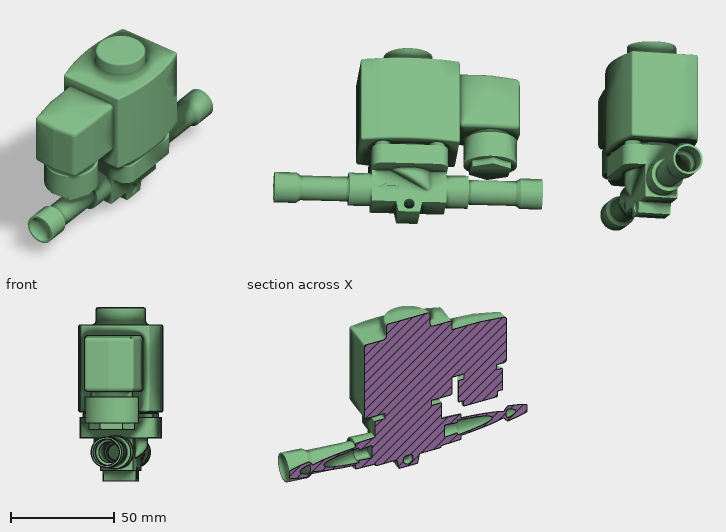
import cadquery as cq
import math

TURN_ABOUT_Z = -6.2

PIPE_HALF_LENGTH = 65.0
COLLAR_END = 29.0
COLLAR_DIAMETER = 16.0
TUBE_DIAMETER = 12.0
SOCKET_DIAMETER = 14.8
FLARE_START = 52.2
FLARE_END = 54.4
SOCKET_BORE = 12.8
TUBE_BORE = 10.0
PORT_BORE = 8.0
TUBE_BORE_END = 27.0
PORT_BORE_END = 20.0

BODY_WIDTH = 16.0
BODY_LENGTH = 36.0
BODY_BOTTOM = -8.8
CHAMBER_DIAMETER = 26.0
CHAMBER_FLOOR_ANGLE = 30.0
CHAMBER_FLOOR_HEIGHT = 1.8
CHAMBER_FILLET = 1.5
LUG_BOTTOM = -14.0
LUG_TOP_WIDTH = 12.6
LUG_BOTTOM_WIDTH = 10.4
LUG_HOLE_DIAMETER = 5.2
LUG_HOLE_HEIGHT = -10.0

ARROW_TIP = 14.9
ARROW_HEAD_BACK = 10.7
ARROW_TAIL = 5.1
ARROW_HEIGHT = -1.6
ARROW_HEAD_WIDTH = 4.8
ARROW_SHAFT_WIDTH = 2.1
ARROW_DEPTH = 0.3

FLANGE_BOTTOM = 7.0
FLANGE_TOP = 16.8
BOLT_SPACING = 26.0
FLANGE_CORNER_RADIUS = 5.4
FLANGE_SIDE = BOLT_SPACING + 2 * FLANGE_CORNER_RADIUS
BOLT_HEAD_DIAMETER = 8.0
BOLT_HEAD_TOP = 19.2
BOLT_HEAD_CHAMFER = 0.5
NECK_DIAMETER = 26.0

COIL_BOTTOM = 19.5
COIL_TOP = 61.7
COIL_LENGTH = 48.0
COIL_END_WIDTH = 33.0
COIL_MIDDLE_WIDTH = 40.08
COIL_FILLET = 1.0
CAP_DIAMETER = 24.0
CAP_TOP = 70.0
CAP_EDGE_FILLET = 1.0
CAP_BASE_FILLET = 2.0

BOX_BOTTOM = 29.3
BOX_TOP = 56.6
BOX_WIDTH = 27.0
BOX_TAPER_START = -39.0
BOX_FRONT = -54.5
BOX_FRONT_SLOPE = 6.0
BOX_TOP_TAPER = 5.0
BOX_END_HALF_WIDTH = 12.0
BOX_FILLET = 2.0

GLAND_Y = -39.9
GLAND_NECK_DIAMETER = 20.0
GLAND_NUT_DIAMETER = 26.0
GLAND_NUT_TOP = 26.7
GLAND_NUT_BOTTOM = 14.2
GLAND_HEX_SIDES = 6
GLAND_HEX_FLATS = 19.0
GLAND_HEX_BOTTOM = 11.1
GLAND_HEX_TURN = 4.3


def disc(diameter, bottom, top, y=0.0):
    """Upright cylinder between two heights."""
    return cq.Workplane("XY", origin=(0, y, bottom)).circle(diameter / 2).extrude(top - bottom)


def revolve_about_pipe(outline):
    """Turn an outline of (radius, distance along Y) points about the pipe axis."""
    return cq.Workplane("XY").polyline(outline).close().revolve(360, (0, 0, 0), (0, 1, 0))


def both_ends(shape):
    """Join a shape on the +Y side with its mirror image on the -Y side."""
    return shape.union(shape.mirror("XZ"))


def pipe_outside():
    return both_ends(revolve_about_pipe([
        (0, 0),
        (COLLAR_DIAMETER / 2, 0),
        (COLLAR_DIAMETER / 2, COLLAR_END),
        (TUBE_DIAMETER / 2, COLLAR_END),
        (TUBE_DIAMETER / 2, FLARE_START),
        (SOCKET_DIAMETER / 2, FLARE_END),
        (SOCKET_DIAMETER / 2, PIPE_HALF_LENGTH),
        (0, PIPE_HALF_LENGTH),
    ]))


def pipe_bores():
    return both_ends(revolve_about_pipe([
        (0, PORT_BORE_END),
        (PORT_BORE / 2, PORT_BORE_END),
        (PORT_BORE / 2, TUBE_BORE_END),
        (TUBE_BORE / 2, TUBE_BORE_END),
        (TUBE_BORE / 2, FLARE_START),
        (SOCKET_BORE / 2, FLARE_END),
        (SOCKET_BORE / 2, PIPE_HALF_LENGTH),
        (0, PIPE_HALF_LENGTH),
    ]))


def diaphragm_chamber():
    """Cylinder under the flange whose floor slopes down towards -Y."""
    radius = CHAMBER_DIAMETER / 2
    rise = radius * math.tan(math.radians(CHAMBER_FLOOR_ANGLE))
    side = (
        cq.Workplane("YZ")
        .moveTo(-radius, CHAMBER_FLOOR_HEIGHT - rise)
        .lineTo(radius, CHAMBER_FLOOR_HEIGHT + rise)
        .lineTo(radius, FLANGE_TOP)
        .lineTo(-radius, FLANGE_TOP)
        .close()
        .extrude(radius, both=True)
    )
    chamber = disc(CHAMBER_DIAMETER, CHAMBER_FLOOR_HEIGHT - rise, FLANGE_TOP).intersect(side)
    return chamber.faces("<Z").edges().fillet(CHAMBER_FILLET)


def body():
    block = (
        cq.Workplane("XY", origin=(0, 0, BODY_BOTTOM))
        .rect(BODY_WIDTH, BODY_LENGTH)
        .extrude(FLANGE_BOTTOM - BODY_BOTTOM)
    )
    lug = (
        cq.Workplane("YZ")
        .moveTo(-LUG_TOP_WIDTH / 2, BODY_BOTTOM)
        .lineTo(-LUG_BOTTOM_WIDTH / 2, LUG_BOTTOM)
        .lineTo(LUG_BOTTOM_WIDTH / 2, LUG_BOTTOM)
        .lineTo(LUG_TOP_WIDTH / 2, BODY_BOTTOM)
        .close()
        .extrude(BODY_WIDTH / 2, both=True)
    )
    lug_hole = (
        cq.Workplane("YZ")
        .center(0, LUG_HOLE_HEIGHT)
        .circle(LUG_HOLE_DIAMETER / 2)
        .extrude(BODY_WIDTH / 2, both=True)
    )
    return block.union(lug).cut(lug_hole).union(diaphragm_chamber())


def flow_arrow():
    half_head = ARROW_HEAD_WIDTH / 2
    half_shaft = ARROW_SHAFT_WIDTH / 2
    return (
        cq.Workplane("YZ", origin=(-BODY_WIDTH / 2, 0, ARROW_HEIGHT))
        .moveTo(ARROW_TIP, 0)
        .lineTo(ARROW_HEAD_BACK, half_head)
        .lineTo(ARROW_HEAD_BACK, half_shaft)
        .lineTo(ARROW_TAIL, half_shaft)
        .lineTo(ARROW_TAIL - half_shaft / 2, 0)
        .lineTo(ARROW_TAIL, -half_shaft)
        .lineTo(ARROW_HEAD_BACK, -half_shaft)
        .lineTo(ARROW_HEAD_BACK, -half_head)
        .close()
        .extrude(ARROW_DEPTH)
    )


def flange():
    plate = (
        cq.Workplane("XY", origin=(0, 0, FLANGE_BOTTOM))
        .rect(FLANGE_SIDE, FLANGE_SIDE)
        .extrude(FLANGE_TOP - FLANGE_BOTTOM)
        .edges("|Z")
        .fillet(FLANGE_CORNER_RADIUS)
    )
    bolt_heads = (
        cq.Workplane("XY", origin=(0, 0, FLANGE_TOP))
        .rect(BOLT_SPACING, BOLT_SPACING, forConstruction=True)
        .vertices()
        .circle(BOLT_HEAD_DIAMETER / 2)
        .extrude(BOLT_HEAD_TOP - FLANGE_TOP)
        .faces(">Z")
        .edges()
        .chamfer(BOLT_HEAD_CHAMFER)
    )
    neck = disc(NECK_DIAMETER, FLANGE_TOP, COIL_BOTTOM)
    return plate.union(bolt_heads).union(neck)


def coil():
    half_end = COIL_END_WIDTH / 2
    half_middle = COIL_MIDDLE_WIDTH / 2
    half_length = COIL_LENGTH / 2
    housing = (
        cq.Workplane("XY", origin=(0, 0, COIL_BOTTOM))
        .moveTo(-half_end, -half_length)
        .lineTo(half_end, -half_length)
        .threePointArc((half_middle, 0), (half_end, half_length))
        .lineTo(-half_end, half_length)
        .threePointArc((-half_middle, 0), (-half_end, -half_length))
        .close()
        .extrude(COIL_TOP - COIL_BOTTOM)
        .edges()
        .fillet(COIL_FILLET)
    )
    cap = disc(CAP_DIAMETER, COIL_TOP, CAP_TOP).faces(">Z").edges().fillet(CAP_EDGE_FILLET)
    cap_base = cq.selectors.BoxSelector(
        (-CAP_DIAMETER, -CAP_DIAMETER, COIL_TOP - CAP_EDGE_FILLET / 2),
        (CAP_DIAMETER, CAP_DIAMETER, COIL_TOP + CAP_EDGE_FILLET / 2),
    )
    return housing.union(cap).edges("%CIRCLE").edges(cap_base).fillet(CAP_BASE_FILLET)


def connector_box():
    """Box with tapering sides and roof and a shallow V-shaped front."""
    half_width = BOX_WIDTH / 2
    corner_setback = BOX_END_HALF_WIDTH * math.tan(math.radians(BOX_FRONT_SLOPE))
    corner_y = BOX_FRONT + corner_setback
    roof_drop = (BOX_TAPER_START - BOX_FRONT) * math.tan(math.radians(BOX_TOP_TAPER))
    plan = (
        cq.Workplane("XY", origin=(0, 0, BOX_BOTTOM))
        .moveTo(-half_width, 0)
        .lineTo(-half_width, BOX_TAPER_START)
        .lineTo(-BOX_END_HALF_WIDTH, corner_y)
        .lineTo(0, BOX_FRONT)
        .lineTo(BOX_END_HALF_WIDTH, corner_y)
        .lineTo(half_width, BOX_TAPER_START)
        .lineTo(half_width, 0)
        .close()
        .extrude(BOX_TOP - BOX_BOTTOM)
    )
    profile = (
        cq.Workplane("YZ")
        .moveTo(0, BOX_BOTTOM)
        .lineTo(BOX_FRONT, BOX_BOTTOM)
        .lineTo(BOX_FRONT, BOX_TOP - roof_drop)
        .lineTo(BOX_TAPER_START, BOX_TOP)
        .lineTo(0, BOX_TOP)
        .close()
        .extrude(BOX_WIDTH, both=True)
    )
    box = plan.intersect(profile)
    front_corners = cq.selectors.BoxSelector(
        (-BOX_WIDTH, corner_y - BOX_FILLET / 2, BOX_BOTTOM),
        (BOX_WIDTH, corner_y + BOX_FILLET / 2, BOX_TOP),
    )
    box = box.edges("|Z").edges(front_corners).fillet(BOX_FILLET)
    box = box.faces("<Z").edges("not >Y").fillet(BOX_FILLET)
    roof_rim = cq.selectors.BoxSelector(
        (-BOX_WIDTH, BOX_FRONT - BOX_FILLET, BOX_TOP - roof_drop - BOX_FILLET / 2),
        (BOX_WIDTH, BOX_FILLET, BOX_TOP + BOX_FILLET),
    )
    return box.edges(roof_rim).edges("not |X").fillet(BOX_FILLET)


def cable_gland():
    neck = disc(GLAND_NECK_DIAMETER, GLAND_NUT_TOP, BOX_BOTTOM + BOX_FILLET, y=GLAND_Y)
    nut = disc(GLAND_NUT_DIAMETER, GLAND_NUT_BOTTOM, GLAND_NUT_TOP, y=GLAND_Y)
    across_corners = GLAND_HEX_FLATS / math.cos(math.pi / GLAND_HEX_SIDES)
    hexagon = (
        cq.Workplane("XY", origin=(0, GLAND_Y, GLAND_HEX_BOTTOM))
        .transformed(rotate=(0, 0, GLAND_HEX_TURN))
        .polygon(GLAND_HEX_SIDES, across_corners)
        .extrude(GLAND_NUT_BOTTOM - GLAND_HEX_BOTTOM)
    )
    return neck.union(nut).union(hexagon)


valve = body().union(pipe_outside()).union(flange()).union(coil())
valve = valve.union(connector_box()).union(cable_gland())
valve = valve.cut(pipe_bores()).cut(flow_arrow())

result = valve.rotate((0, 0, 0), (0, 0, 1), TURN_ABOUT_Z)